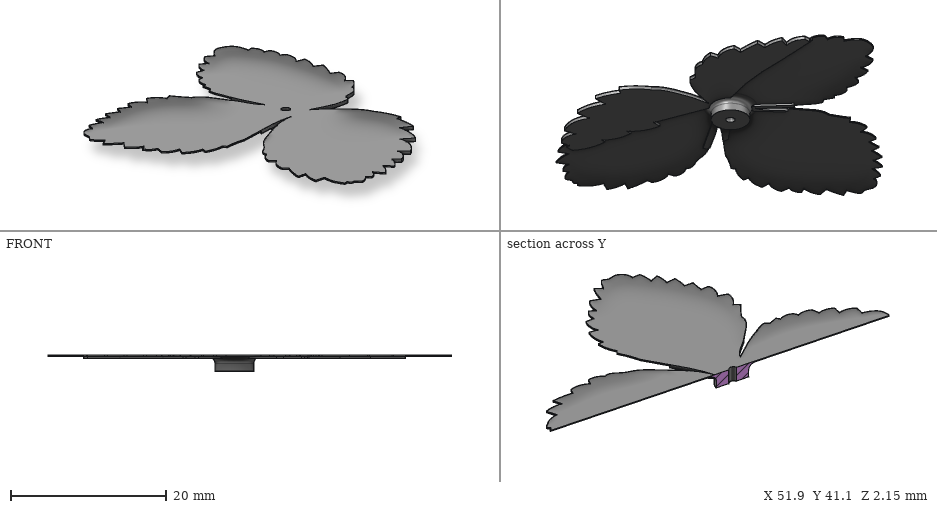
import cadquery as cq
import math

TOTAL_HEIGHT = 2.15
PLATE_THICKNESS = 0.2
WEB_DEPTH = 0.3
HUB_CENTER = (0, 0.1)
HUB_HEIGHT = TOTAL_HEIGHT - PLATE_THICKNESS
HUB_RADIUS = 5.0 / 2
HUB_FLARE_RADIUS = 0.95
HOLE_RADIUS = 1.2 / 2

TOP_SLIT = (1.15, 3.0)
RIGHT_SLIT = (2.8, -0.1)
LEFT_SLIT = (-2.4, -2.0)

UPPER_RIGHT_LEAF = {
    "flank_out": [(1.7, 5.6), (2.5, 7.9), (3.6, 9.9), (4.2, 10.5)],
    "teeth_out": [
        ((5.4, 11.9), (7.3, 13.3), (7.7, 12.6)),
        ((9.2, 13.3), (11.0, 13.78), (11.0, 11.9)),
        ((12.9, 12.6), (15.2, 12.7), (14.9, 10.7)),
        ((17.1, 11.3), (19.4, 10.6), (18.9, 9.0)),
        ((20.3, 9.3), (21.8, 8.6), (21.5, 7.4)),
        ((22.8, 7.4), (24.0, 6.9), (23.3, 5.6)),
        ((24.7, 5.5), (26.0, 5.1), (25.1, 3.6)),
        ((26.0, 3.5), (26.8, 2.9), (26.4, 2.2)),
    ],
    "apex": [(27.2, 1.9), (27.9, 1.1), (27.6, 0.4), (27.8, -0.3), (27.5, -0.6),
             (27.8, -0.9), (27.5, -1.5), (26.6, -2.3), (25.1, -2.9)],
    "teeth_in": [
        ((25.8, -4.3), (24.6, -4.7), (23.1, -4.8)),
        ((23.7, -6.0), (22.1, -6.2), (20.5, -6.2)),
        ((20.3, -7.0), (18.9, -7.3), (17.4, -6.9)),
        ((17.1, -7.8), (15.9, -7.9), (14.8, -7.4)),
    ],
    "flank_in": [(14.2, -7.6), (12.4, -6.9), (10.9, -6.5), (7.8, -4.7), (4.7, -2.4), RIGHT_SLIT],
}
LOWER_LEAF = {
    "flank_out": [(5.2, -3.9), (7.0, -6.1), (8.8, -8.4)],
    "teeth_out": [
        ((9.5, -9.8), (10.5, -11.3), (10.2, -11.8)),
        ((10.8, -12.8), (11.3, -14.5), (10.5, -14.6)),
        ((10.9, -15.9), (10.8, -17.5), (9.5, -17.4)),
        ((9.9, -18.7), (9.7, -19.9), (8.4, -20.0)),
        ((8.5, -20.9), (8.0, -21.9), (7.1, -21.4)),
        ((7.1, -22.6), (6.6, -23.9), (5.1, -23.5)),
        ((4.9, -24.8), (4.5, -26.1), (3.4, -25.5)),
    ],
    "apex": [(3.0, -26.6), (2.5, -27.25), (1.7, -27.05), (0.9, -27.25), (0.0, -27.25),
             (-0.7, -26.8), (-1.1, -25.7)],
    "teeth_in": [
        ((-2.3, -25.8), (-2.6, -24.8), (-2.7, -23.7)),
        ((-4.0, -24.3), (-4.2, -23.3), (-4.2, -22.3)),
        ((-5.6, -22.5), (-5.7, -21.5), (-5.7, -20.4)),
        ((-7.0, -20.4), (-6.95, -19.4), (-7.0, -18.5)),
        ((-8.2, -18.6), (-8.4, -17.3), (-7.9, -16.0)),
        ((-9.3, -15.7), (-9.2, -14.4), (-8.5, -13.2)),
        ((-9.3, -12.6), (-8.4, -11.2), (-7.8, -10.1)),
    ],
    "flank_in": [(-7.7, -9.0), (-6.4, -7.0), (-4.7, -4.9), (-3.0, -3.1), LEFT_SLIT],
}
LEFT_LEAF = {
    "flank_out": [(-4.2, -3.6), (-5.9, -5.0), (-7.5, -6.1)],
    "teeth_out": [
        ((-8.5, -6.8), (-9.4, -7.2), (-10.0, -6.8)),
        ((-10.7, -7.1), (-11.3, -7.4), (-11.7, -6.9)),
        ((-12.8, -7.3), (-13.8, -7.1), (-14.2, -6.5)),
        ((-15.3, -6.8), (-16.3, -6.6), (-16.7, -5.5)),
        ((-17.9, -5.7), (-19.0, -5.4), (-18.9, -4.1)),
        ((-20.0, -4.3), (-21.4, -3.8), (-21.3, -2.5)),
    ],
    "apex": [(-22.3, -2.3), (-23.5, -1.6), (-23.93, -0.4), (-23.8, 0.8), (-23.2, 1.5), (-21.9, 2.2)],
    "teeth_in": [
        ((-22.4, 2.8), (-21.7, 3.7), (-20.6, 3.9)),
        ((-20.9, 4.7), (-20.1, 5.4), (-18.9, 5.5)),
        ((-18.9, 6.3), (-17.8, 6.9), (-16.1, 6.8)),
        ((-16.5, 8.1), (-15.1, 8.4), (-13.7, 8.3)),
        ((-13.7, 9.7), (-12.1, 9.7), (-10.6, 9.6)),
        ((-10.6, 10.8), (-9.4, 11.1), (-7.5, 10.5)),
        ((-7.2, 11.6), (-6.2, 11.4), (-4.9, 10.7)),
    ],
    "flank_in": [(-3.6, 10.5), (-2.6, 9.6), (-1.9, 8.9), (-1.2, 8.9), (-0.5, 8.2), (0.4, 6.3), TOP_SLIT],
}

UPPER_WEB_LEFT_EDGE = [(-19.4, 5.5), (-14.7, 4.8), (-9.2, 4.1), (-5.8, 3.4), (-1.6, 2.0), (1.6, 2.0)]
UPPER_WEB_STEP_TOP = (9.6, 4.3)
UPPER_WEB_SCALLOPS = [
    ((9.6, 3.1), (13.6, 5.0)),
    ((13.6, 4.3), (17.5, 5.6)),
    ((17.5, 5.0), (22.0, 6.3)),
]
SCALLOP_SAG = 0.4
WEB_REACH_Y = 15.0

RIGHT_WEB = [(1.5, 1.0), (9.4, -4.8), (9.0, -5.3), (5.4, -5.3), (1.2, -1.6)]
LEFT_WEB = [(-1.6, -0.7), (-6.6, -4.8), (-6.2, -5.3), (-4.6, -5.3), (-1.2, -1.8)]


def trace_leaf(outline, leaf):
    outline = outline.spline(leaf["flank_out"], includeCurrent=True)
    for back, tip, notch in leaf["teeth_out"]:
        outline = outline.threePointArc(back, tip).lineTo(*notch)
    outline = outline.spline(leaf["apex"], includeCurrent=True)
    for tip, back, notch in leaf["teeth_in"]:
        outline = outline.lineTo(*tip).threePointArc(back, notch)
    return outline.spline(leaf["flank_in"], includeCurrent=True)


def flower_prism(bottom_z, top_z):
    outline = cq.Workplane("XY").workplane(offset=bottom_z).moveTo(*TOP_SLIT)
    for leaf in (UPPER_RIGHT_LEAF, LOWER_LEAF, LEFT_LEAF):
        outline = trace_leaf(outline, leaf)
    return outline.wire().extrude(top_z - bottom_z)


def web_regions():
    """Blocks whose overlap with the leaves gives the thicker zones at the leaf joints."""
    plane = cq.Workplane("XY").workplane(offset=-WEB_DEPTH)
    upper = plane.polyline(UPPER_WEB_LEFT_EDGE).lineTo(*UPPER_WEB_STEP_TOP)
    for start, end in UPPER_WEB_SCALLOPS:
        upper = upper.lineTo(*start).sagittaArc(end, -SCALLOP_SAG)
    right_x = UPPER_WEB_SCALLOPS[-1][-1][0]
    left_x = UPPER_WEB_LEFT_EDGE[0][0]
    upper = upper.lineTo(right_x, WEB_REACH_Y).lineTo(left_x, WEB_REACH_Y).close()
    regions = upper.extrude(WEB_DEPTH)
    for corners in (RIGHT_WEB, LEFT_WEB):
        regions = regions.union(plane.polyline(corners).close().extrude(WEB_DEPTH))
    return regions


def flared_hub():
    flare_top_radius = HUB_RADIUS + HUB_FLARE_RADIUS
    arc_offset = HUB_FLARE_RADIUS * (1 - math.sqrt(0.5))
    return (
        cq.Workplane("XZ")
        .moveTo(0, -HUB_HEIGHT)
        .lineTo(HUB_RADIUS, -HUB_HEIGHT)
        .lineTo(HUB_RADIUS, -HUB_FLARE_RADIUS)
        .threePointArc((HUB_RADIUS + arc_offset, -arc_offset), (flare_top_radius, 0))
        .lineTo(0, 0)
        .close()
        .revolve(360, (0, 0, 0), (0, 1, 0))
        .translate(HUB_CENTER)
    )


plate = flower_prism(0, PLATE_THICKNESS)
webs = flower_prism(-WEB_DEPTH, 0).intersect(web_regions())
hub = flared_hub().intersect(flower_prism(-HUB_HEIGHT, 0))
hole = cq.Workplane("XY").workplane(offset=-HUB_HEIGHT).center(*HUB_CENTER).circle(HOLE_RADIUS)
hole = hole.extrude(HUB_HEIGHT + PLATE_THICKNESS)

result = plate.union(webs).union(hub).cut(hole)